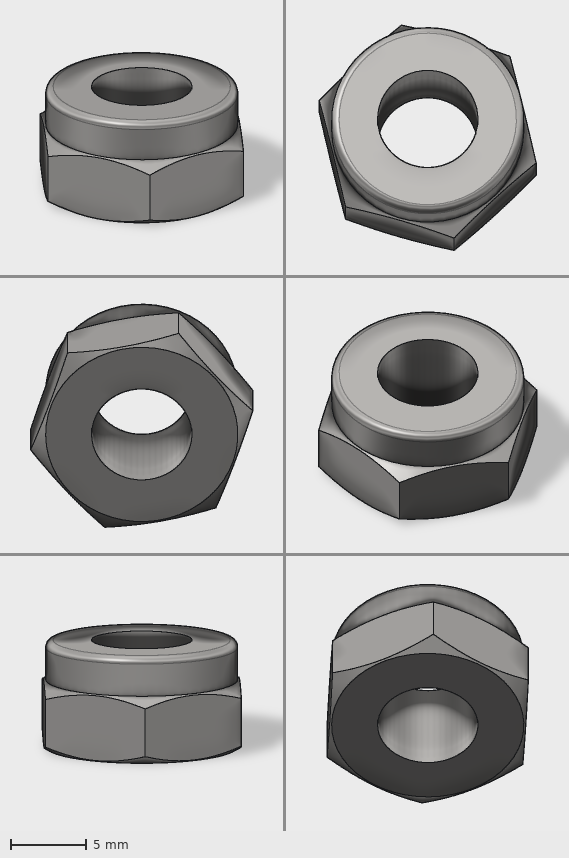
import cadquery as cq
import math

across_corners = 15.01
total_height = 7.17
hex_height = 4.52
collar_diameter = 12.75
collar_edge_radius = 0.5
bore_diameter = 6.65
chamfer_angle = 30.0

corner_radius = across_corners / 2
collar_radius = collar_diameter / 2

chamfer_drop = (corner_radius - collar_radius) * math.tan(math.radians(chamfer_angle))


def chamfered_hexagon():
    """Hexagon with corners on X, trimmed by a cone at each end."""
    prism = cq.Workplane("XY").polygon(6, across_corners).extrude(hex_height)
    envelope = (
        cq.Workplane("XZ")
        .moveTo(0, 0)
        .lineTo(collar_radius, 0)
        .lineTo(corner_radius, chamfer_drop)
        .lineTo(corner_radius, hex_height - chamfer_drop)
        .lineTo(collar_radius, hex_height)
        .lineTo(0, hex_height)
        .close()
        .revolve(360, (0, 0, 0), (0, 1, 0))
    )
    return prism.intersect(envelope)


def collar():
    """Round collar above the hexagon with a rounded top edge."""
    return (
        cq.Workplane("XY")
        .workplane(offset=hex_height)
        .circle(collar_radius)
        .extrude(total_height - hex_height)
        .faces(">Z")
        .edges()
        .fillet(collar_edge_radius)
    )


bore = cq.Workplane("XY").circle(bore_diameter / 2).extrude(total_height)

result = chamfered_hexagon().union(collar()).cut(bore)